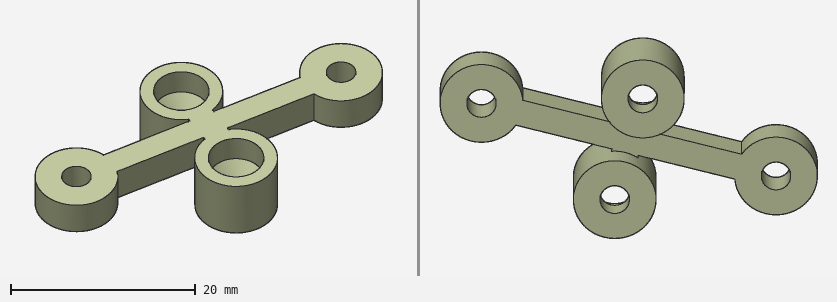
import cadquery as cq

length = 41.95
height = 7.0
pad_diameter = 9.0
pad_radius = pad_diameter / 2

arm_width = 3.0
arm_thickness = 4.0
arm_bottom = height - arm_thickness

end_offset = length / 2 - pad_radius
post_offset = 6.0
end_centers = [(0, -end_offset), (0, end_offset)]
post_centers = [(-post_offset, 0), (post_offset, 0)]

hole_diameter = 3.2
recess_diameter = 6.0
recess_depth = 3.02
seat_depth = (recess_diameter - hole_diameter) / 2


def cylinders(centers, diameter, bottom, depth):
    """Upright cylinders of equal size, one at each center."""
    plane = cq.Workplane("XY").workplane(offset=bottom)
    return plane.pushPoints(centers).circle(diameter / 2).extrude(depth)


def arm(size_x, size_y):
    """Straight bar centered on the part axis."""
    plane = cq.Workplane("XY").workplane(offset=arm_bottom)
    return plane.rect(size_x, size_y).extrude(arm_thickness)


def screw_seat(center):
    """Cone narrowing from the recess floor to the screw hole."""
    recess_floor = height - recess_depth
    return (
        cq.Workplane("XY")
        .workplane(offset=recess_floor - seat_depth)
        .center(*center)
        .circle(hole_diameter / 2)
        .workplane(offset=seat_depth)
        .circle(recess_diameter / 2)
        .loft(combine=True)
    )


body = arm(arm_width, 2 * end_offset).union(arm(2 * post_offset, arm_width))
body = body.union(cylinders(end_centers, pad_diameter, arm_bottom, arm_thickness))
body = body.union(cylinders(post_centers, pad_diameter, 0, height))

body = body.cut(cylinders(end_centers + post_centers, hole_diameter, 0, height))
body = body.cut(cylinders(post_centers, recess_diameter, height - recess_depth, recess_depth))
for post_center in post_centers:
    body = body.cut(screw_seat(post_center))

result = body